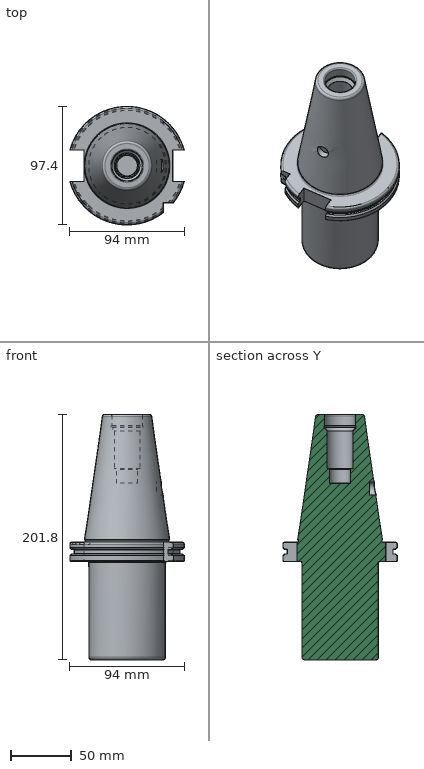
import cadquery as cq


total_length = 201.8
taper_length = 101.7
gauge_radius = 35.0
taper_slope = 7 / 48
nose_fillet = 2.2
taper_overrun = 1.0
neck_radius = 34.5
neck_fillet = 0.8

flange_radius = 48.72
flange_top = -3.2
flange_thickness = 16.0
flange_top_fillet = 1.8
flange_bottom_fillet = 1.0

groove_center = -11.0
groove_floor_radius = 45.4
groove_half_width = 1.8
groove_floor_fillet = 0.5
groove_flare = 1.51

body_radius = 31.5
body_root_fillet = 1.0
body_end_fillet = 2.5

slot_width = 25.6
slot_floor_left = 35.5
slot_floor_right = 37.7
notch_x = 29.9
notch_y = 30.5

bore_radius = 12.5
bore_depth = 11.5
mouth_fillet = 1.2
relief_radius = 13.1
relief_height = 2.5
thread_radius = 10.5
thread_depth = 44.4
deep_hole_radius = 8.5
deep_hole_depth = 56.5
deep_hole_chamfer = 1.0

recess_radius = 5.2
recess_depth = 4.6
recess_height = 40.8

flange_bottom = flange_top - flange_thickness
body_end = taper_length - total_length
nose_radius = gauge_radius - taper_slope * taper_length


def revolve_profile(points):
    """Turn a closed (radius, height) outline around the Z axis."""
    outline = cq.Workplane("YZ").polyline(points).close()
    return outline.revolve(360, (0, 0, 0), (0, 1, 0))


def make_shank():
    taper_end_radius = gauge_radius + taper_slope * taper_overrun
    shank = (
        cq.Workplane("YZ")
        .moveTo(0, flange_top)
        .lineTo(neck_radius + neck_fillet, flange_top)
        .radiusArc((neck_radius, flange_top + neck_fillet), neck_fillet)
        .lineTo(neck_radius, -taper_overrun - (taper_end_radius - neck_radius))
        .lineTo(taper_end_radius, -taper_overrun)
        .lineTo(nose_radius, taper_length)
        .lineTo(0, taper_length)
        .close()
        .revolve(360, (0, 0, 0), (0, 1, 0))
    )
    return shank.faces(">Z").edges().fillet(nose_fillet)


def make_groove():
    flare_radius = flange_radius - groove_flare
    mouth_half_width = groove_half_width + groove_flare
    groove = revolve_profile([
        (groove_floor_radius, groove_center - groove_half_width),
        (flare_radius, groove_center - groove_half_width),
        (flange_radius, groove_center - mouth_half_width),
        (flange_radius, groove_center + mouth_half_width),
        (flare_radius, groove_center + groove_half_width),
        (groove_floor_radius, groove_center + groove_half_width),
    ])
    floor_corners = cq.selectors.RadiusNthSelector(0)
    return groove.edges("%CIRCLE").edges(floor_corners).fillet(groove_floor_fillet)


def make_flange():
    flange = cq.Workplane("XY").workplane(offset=flange_bottom).circle(flange_radius).extrude(flange_thickness)
    flange = flange.faces(">Z").edges().fillet(flange_top_fillet)
    flange = flange.faces("<Z").edges().fillet(flange_bottom_fillet)
    return flange.cut(make_groove())


def make_flange_cutouts():
    def cutter(x_start, x_size, y_start, y_size):
        block = cq.Workplane("XY").box(x_size, y_size, flange_thickness, centered=False)
        return block.translate((x_start, y_start, flange_bottom))

    right_slot = cutter(slot_floor_right, flange_radius, -slot_width / 2, slot_width)
    left_slot = cutter(-slot_floor_left - flange_radius, flange_radius, -slot_width / 2, slot_width)
    notch = cutter(notch_x, flange_radius, -notch_y - flange_radius, flange_radius)
    return right_slot.union(left_slot).union(notch)


def make_body():
    body = cq.Workplane("XY").workplane(offset=body_end).circle(body_radius).extrude(flange_bottom - body_end)
    return body.faces("<Z").edges().fillet(body_end_fillet)


def make_body_root_fillet():
    outer = body_radius + body_root_fillet
    ring = (
        cq.Workplane("YZ")
        .moveTo(0, flange_bottom)
        .lineTo(outer, flange_bottom)
        .radiusArc((body_radius, flange_bottom - body_root_fillet), -body_root_fillet)
        .lineTo(0, flange_bottom - body_root_fillet)
        .close()
    )
    return ring.revolve(360, (0, 0, 0), (0, 1, 0))


def make_bore():
    relief_step = relief_radius - bore_radius
    step_bottom = bore_depth + (bore_radius - thread_radius)
    outline = [
        (0, 0),
        (bore_radius, 0),
        (bore_radius, bore_depth - relief_height),
        (relief_radius, bore_depth - relief_height + relief_step),
        (relief_radius, bore_depth - relief_step),
        (bore_radius, bore_depth),
        (thread_radius, step_bottom),
        (thread_radius, thread_depth),
        (deep_hole_radius + deep_hole_chamfer, thread_depth),
        (deep_hole_radius, thread_depth + deep_hole_chamfer),
        (deep_hole_radius, deep_hole_depth),
        (0, deep_hole_depth),
    ]
    return revolve_profile([(radius, taper_length - depth) for radius, depth in outline])


def make_side_recess():
    surface_x = gauge_radius - taper_slope * recess_height
    drill = cq.Workplane("YZ").workplane(offset=surface_x - recess_depth)
    return drill.center(0, recess_height).circle(recess_radius).extrude(2 * recess_depth)


flange = make_flange().cut(make_flange_cutouts())
solid = make_body().union(make_body_root_fillet()).union(flange).union(make_shank())
solid = solid.cut(make_bore())
bore_mouth = cq.selectors.RadiusNthSelector(0)
solid = solid.faces(">Z").edges(bore_mouth).fillet(mouth_fillet)
result = solid.cut(make_side_recess())